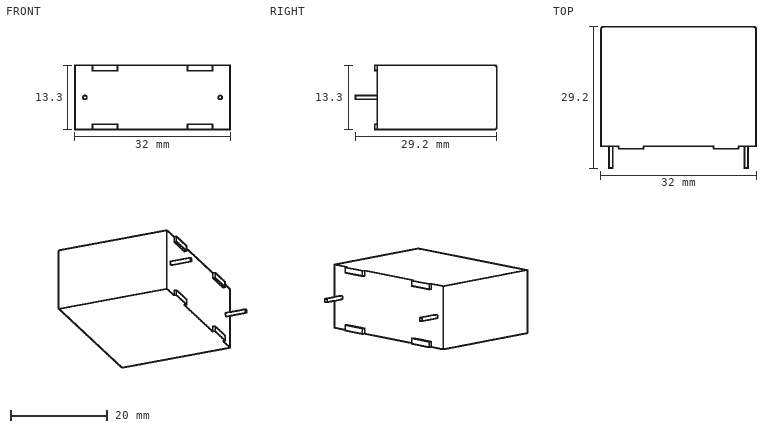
import cadquery as cq

WIDTH = 32.0
LENGTH = 29.2
HEIGHT = 13.3

CASE_DEPTH = 24.7
BACK_FILLET = 0.5

FOOT_BASE_WIDTH = 5.28
FOOT_TIP_WIDTH = 5.1
FOOT_PROJECTION = 0.5
FOOT_HEIGHT = 1.15
FOOT_SPACING = 19.6

LEAD_DIAMETER = 0.8
LEAD_SPACING = 27.9
LEAD_LENGTH = LENGTH - CASE_DEPTH


def make_foot(x, z_bottom):
    """Bar standing on the case front face (y = 0), narrowing in X towards its tip."""
    half_base = FOOT_BASE_WIDTH / 2
    half_tip = FOOT_TIP_WIDTH / 2
    outline = [
        (x - half_base, 0),
        (x + half_base, 0),
        (x + half_tip, -FOOT_PROJECTION),
        (x - half_tip, -FOOT_PROJECTION),
    ]
    return cq.Workplane("XY", origin=(0, 0, z_bottom)).polyline(outline).close().extrude(FOOT_HEIGHT)


def make_case():
    """Box behind the front face, with rounded back edges and four feet joined on."""
    case = cq.Workplane("XZ").rect(WIDTH, HEIGHT).extrude(-CASE_DEPTH)
    case = case.faces(">Y").edges().fillet(BACK_FILLET)
    for z_bottom in (-HEIGHT / 2, HEIGHT / 2 - FOOT_HEIGHT):
        for side in (-1, 1):
            case = case.union(make_foot(side * FOOT_SPACING / 2, z_bottom))
    return case


def make_lead(x):
    """Round wire starting on the case front face and pointing forward."""
    return cq.Workplane("XZ").center(x, 0).circle(LEAD_DIAMETER / 2).extrude(LEAD_LENGTH)


case = make_case()
leads = [make_lead(side * LEAD_SPACING / 2) for side in (-1, 1)]

result = cq.Compound.makeCompound([case.val(), *[lead.val() for lead in leads]])